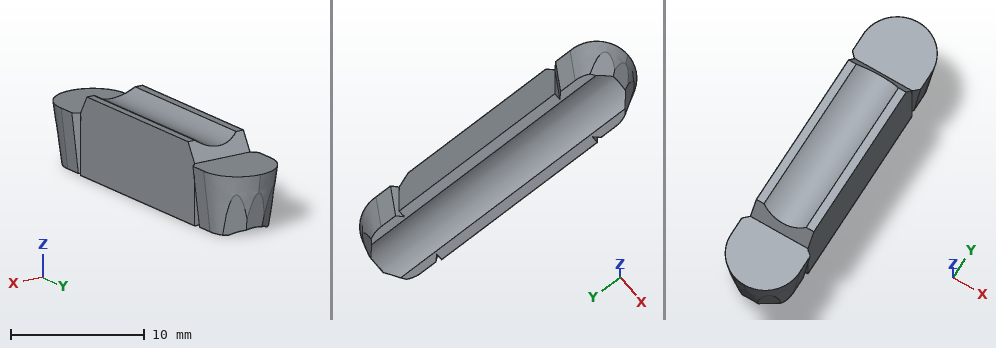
import cadquery as cq
import math

LENGTH = 25.0
HEIGHT = 6.4
HEAD_WIDTH = 6.0
BODY_WIDTH = 5.05
HEAD_HEIGHT = 4.9

BODY_LENGTH = 15.0
BODY_RAMP_ANGLE = 60.0

TOP_GROOVE_HALF_WIDTH = 1.85
TOP_GROOVE_DEPTH = 0.68
BASE_GROOVE_HALF_WIDTH = 1.72
BASE_GROOVE_DEPTH = 0.52

HEAD_NECK_LENGTH = 0.45
SIDE_END_Y = 9.35
SIDE_RELIEF_ANGLE = 7.0
NOSE_RELIEF_ANGLE = 8.4

FACET_AZIMUTHS = (-36.0, 0.0, 36.0)
FACET_ANGLE = 11.8
FACET_TOP = HEAD_HEIGHT - 1.5

NOSE_RADIUS = HEAD_WIDTH / 2
NOSE_CENTER_Y = LENGTH / 2 - NOSE_RADIUS
NOSE_SETBACK = HEAD_HEIGHT * math.tan(math.radians(NOSE_RELIEF_ANGLE))


def arc_radius(half_chord, rise):
    """Radius of an arc from its half chord and its rise."""
    return (half_chord**2 + rise**2) / (2 * rise)


FACE_HALF_WIDTH = math.sqrt(NOSE_RADIUS**2 - (NOSE_CENTER_Y - SIDE_END_Y)**2)
FOOT_HALF_WIDTH = FACE_HALF_WIDTH - HEAD_HEIGHT * math.tan(math.radians(SIDE_RELIEF_ANGLE))
FOOT_TIP_Y = LENGTH / 2 - NOSE_SETBACK
FOOT_RADIUS = arc_radius(FOOT_HALF_WIDTH, FOOT_TIP_Y - SIDE_END_Y)
FOOT_CENTER_Y = FOOT_TIP_Y - FOOT_RADIUS


def make_body():
    half_length = BODY_LENGTH / 2
    ramp_run = (HEIGHT - HEAD_HEIGHT) / math.tan(math.radians(BODY_RAMP_ANGLE))
    return (
        cq.Workplane("YZ")
        .moveTo(-half_length, 0)
        .lineTo(half_length, 0)
        .lineTo(half_length, HEAD_HEIGHT)
        .lineTo(half_length - ramp_run, HEIGHT)
        .lineTo(ramp_run - half_length, HEIGHT)
        .lineTo(-half_length, HEAD_HEIGHT)
        .close()
        .extrude(BODY_WIDTH / 2, both=True)
    )


def head_outline(z, half_width, radius, center_y):
    """Head section at height z, with its nose arc split at the tip."""
    back_y = BODY_LENGTH / 2
    shoulder_y = back_y + HEAD_NECK_LENGTH
    neck_half_width = half_width - (FACE_HALF_WIDTH - BODY_WIDTH / 2)
    half_angle = math.atan2(half_width, SIDE_END_Y - center_y)
    mid_x = radius * math.sin(half_angle / 2)
    mid_y = center_y + radius * math.cos(half_angle / 2)
    outline = (
        cq.Workplane("XY", origin=(0, 0, z))
        .moveTo(-neck_half_width, back_y)
        .lineTo(neck_half_width, back_y)
        .lineTo(half_width, shoulder_y)
        .lineTo(half_width, SIDE_END_Y)
        .threePointArc((mid_x, mid_y), (0, center_y + radius))
        .threePointArc((-mid_x, mid_y), (-half_width, SIDE_END_Y))
        .lineTo(-half_width, shoulder_y)
        .close()
    )
    return outline.val()


def facet_cutter(azimuth):
    """Block removing the nose outside one flat, measured from the +Y direction."""
    turn = math.radians(azimuth)
    drop = (HEAD_HEIGHT - FACET_TOP) / HEAD_HEIGHT
    radius = NOSE_RADIUS + drop * (FOOT_RADIUS - NOSE_RADIUS)
    center_y = NOSE_CENTER_Y + drop * (FOOT_CENTER_Y - NOSE_CENTER_Y)
    apex = (radius * math.sin(turn), center_y + radius * math.cos(turn), FACET_TOP)
    slope = math.radians(FACET_ANGLE)
    normal = (
        math.cos(slope) * math.sin(turn),
        math.cos(slope) * math.cos(turn),
        -math.sin(slope),
    )
    across = (math.cos(turn), -math.sin(turn), 0)
    return cq.Workplane(cq.Plane(apex, across, normal)).rect(LENGTH, LENGTH).extrude(HEAD_WIDTH)


def make_head():
    foot = head_outline(0, FOOT_HALF_WIDTH, FOOT_RADIUS, FOOT_CENTER_Y)
    face = head_outline(HEAD_HEIGHT, FACE_HALF_WIDTH, NOSE_RADIUS, NOSE_CENTER_Y)
    head = cq.Workplane(cq.Solid.makeLoft([foot, face], True))
    for azimuth in FACET_AZIMUTHS:
        head = head.cut(facet_cutter(azimuth))
    return head


def groove_cutter(half_width, depth, edge_z, inward):
    """Full-length cylinder; inward is +1 or -1, the way the groove sinks in Z."""
    radius = arc_radius(half_width, depth)
    center_z = edge_z + inward * (depth - radius)
    return cq.Workplane("XZ").center(0, center_z).circle(radius).extrude(LENGTH, both=True)


head = make_head()
result = (
    make_body()
    .union(head)
    .union(head.mirror("XZ"))
    .cut(groove_cutter(TOP_GROOVE_HALF_WIDTH, TOP_GROOVE_DEPTH, HEIGHT, -1))
    .cut(groove_cutter(BASE_GROOVE_HALF_WIDTH, BASE_GROOVE_DEPTH, 0, 1))
)